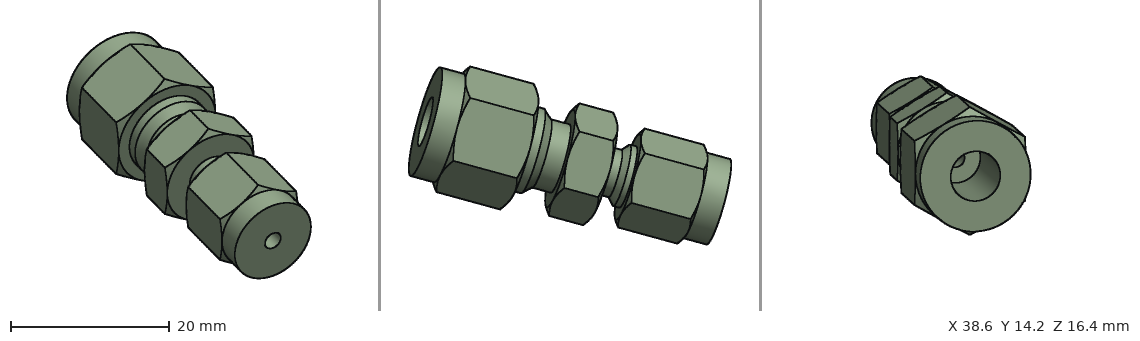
import cadquery as cq
import math

total_length = 38.6

large_nut_start, large_nut_end, large_nut_flats = 3.05, 12.7, 14.2
body_hex_start, body_hex_end, body_hex_flats = 17.75, 23.35, 12.75
small_nut_start, small_nut_end, small_nut_flats = 26.68, 35.5, 11.2
corner_chamfer_angle = 30.0

large_shoulder_diameter = 11.1
large_neck_diameter = 8.95
large_cone_start, large_cone_end = 14.1, 15.3
small_neck_diameter = 6.2
small_shoulder_diameter = 8.05
small_cone_start, small_cone_end = 25.0, 25.85

tube_socket_diameter = 6.37
tube_socket_depth = large_nut_end
through_bore_diameter = 2.3


def cylinder(start, end, diameter):
    """Solid cylinder along X."""
    return cq.Workplane("YZ", origin=(start, 0, 0)).circle(diameter / 2).extrude(end - start)


def chamfered_hex(start, end, flats):
    """Hexagon along X with corners at +Z and -Z, coned down to the flats at both ends."""
    corner_diameter = flats / math.cos(math.radians(30))
    prism = (
        cq.Workplane("YZ", origin=(start, 0, 0))
        .transformed(rotate=(0, 0, 90))
        .polygon(6, corner_diameter)
        .extrude(end - start)
    )
    chamfer_radial = (corner_diameter - flats) / 2
    chamfer_axial = chamfer_radial * math.tan(math.radians(corner_chamfer_angle))
    coned_blank = cylinder(start, end, corner_diameter)
    coned_blank = coned_blank.faces("<X or >X").chamfer(chamfer_axial, chamfer_radial)
    return prism.intersect(coned_blank)


def body_profile():
    """Half profile of the round body, from inside the large nut to inside the small nut."""
    return [
        (large_nut_start, 0),
        (large_nut_start, large_shoulder_diameter / 2),
        (large_cone_start, large_shoulder_diameter / 2),
        (large_cone_end, large_neck_diameter / 2),
        (body_hex_start, large_neck_diameter / 2),
        (body_hex_start, small_neck_diameter / 2),
        (small_cone_start, small_neck_diameter / 2),
        (small_cone_end, small_shoulder_diameter / 2),
        (small_nut_end, small_shoulder_diameter / 2),
        (small_nut_end, 0),
    ]


body = cq.Workplane("XY").polyline(body_profile()).close().revolve(360, (0, 0, 0), (1, 0, 0))

large_nut = chamfered_hex(large_nut_start, large_nut_end, large_nut_flats)
body_hex = chamfered_hex(body_hex_start, body_hex_end, body_hex_flats)
small_nut = chamfered_hex(small_nut_start, small_nut_end, small_nut_flats)

large_collar = cylinder(0, large_nut_start, large_nut_flats)
small_collar = cylinder(small_nut_end, total_length, small_nut_flats)

result = body.union(large_nut).union(body_hex).union(small_nut).union(large_collar).union(small_collar)

result = result.cut(cylinder(0, tube_socket_depth, tube_socket_diameter))
result = result.cut(cylinder(0, total_length, through_bore_diameter))